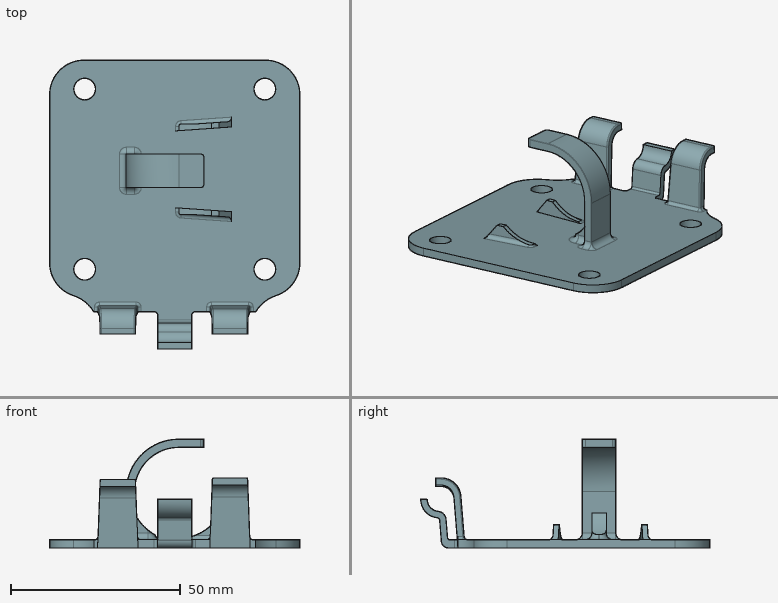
import cadquery as cq
import math

plate_width = 73.7
plate_thickness = 2.5
plate_back = 35.1
plate_front = -39.1
corner_radius = 10.2
front_arc_rise = 14.5
hole_spacing = 53.0
hole_diameter = 6.3
corner_arc_end_angle = 288.0
front_edge_half = 23.8

tab_lean = 4.6
small_fillet = 1.0
edge_break = 0.1

clip_base_width = 11.9
clip_top_width = 10.3
clip_thickness = 2.1
clip_edge_radius = 0.4
clip_upright = 14.8
clip_bend_inner_radius = 3.75
clip_tip_y = -45.6
left_clip_x = -16.8
right_clip_x = 16.3
right_clip_extra_height = 0.4

latch_width = 10.05
latch_thickness = 2.0
latch_face_y = -44.0
latch_bend_radius = 2.2
latch_inner_radius = 0.7
latch_sink = 0.1
latch_upright = 6.0
latch_shoulder_radius = 1.7
latch_shoulder_turn = 80.0
latch_lip_radius = 4.4
latch_lip_turn = 86.0

bar_x = 1.2
bar_z = 16.6
hook_y = 2.5
hook_width = 10.0
hook_thickness = 2.5
hook_top = 32.1
hook_tip_x = 8.6
base_fillet = 2.0

rib_width = 4.25
rib_end_x = -5.9
rib_cradle_radius = 14.5
rib_corner_radius = 2.0

fin_middle_y = 2.9
fin_inner_offset = 11.4
fin_toe_angle = 4.0
fin_width = 1.6
fin_start_x = 1.5
fin_end_x = 16.7
fin_crest_x = 13.0
fin_top = 6.9
fin_cradle_radius = 13.7
fin_fillet = 1.3
fin_corner_radius = 0.4


def along(point, angle, distance):
    """Point at a distance from another one, in a direction given in degrees."""
    a = math.radians(angle)
    return (point[0] + distance * math.cos(a), point[1] + distance * math.sin(a))


def ribbon(plane, offset, width, thickness, start, heading, steps):
    """Bent strip of constant thickness.

    Each step is (length, 0) for a straight run or (centreline radius, turn) for a bend,
    with turns in degrees and positive to the left.
    """
    half = thickness / 2
    position = start
    strip = None
    for size, turn in steps:
        left = along(position, heading + 90, half)
        right = along(position, heading - 90, half)
        sketch = cq.Workplane(plane).workplane(offset=offset).moveTo(*left)
        if turn == 0:
            position = along(position, heading, size)
            sketch = sketch.lineTo(*along(position, heading + 90, half))
            sketch = sketch.lineTo(*along(position, heading - 90, half))
            sketch = sketch.lineTo(*right)
        else:
            side = math.copysign(90, turn)
            centre = along(position, heading + side, size)
            left_radius = size - math.copysign(half, turn)
            right_radius = size + math.copysign(half, turn)
            middle = heading - side + turn / 2
            end = heading - side + turn
            sketch = sketch.threePointArc(along(centre, middle, left_radius), along(centre, end, left_radius))
            sketch = sketch.lineTo(*along(centre, end, right_radius))
            sketch = sketch.threePointArc(along(centre, middle, right_radius), right)
            position = along(centre, end, size)
            heading += turn
        segment = sketch.close().extrude(width / 2, both=True)
        strip = segment if strip is None else strip.union(segment)
    return strip


def edges_inside(body, low, high):
    """Edges of a body that lie wholly inside the box between two corners."""
    margin = 0.1
    return body.edges(cq.selectors.BoxSelector(
        tuple(v - margin for v in low),
        tuple(v + margin for v in high),
        boundingbox=True,
    ))


def fillet_base(body, low, high, radius):
    """Fillet the edges that lie on the top of the plate inside an XY window."""
    return edges_inside(body, (*low, plate_thickness), (*high, plate_thickness)).fillet(radius)


def make_plate():
    half = plate_width / 2
    centre_x = half - corner_radius
    front_centre = (centre_x, plate_front + front_arc_rise)
    arc_end = along(front_centre, corner_arc_end_angle, corner_radius)
    arc_middle = along(front_centre, corner_arc_end_angle / 2 + 180, corner_radius)
    front_corner = (front_edge_half, plate_front)
    half_plate = (
        cq.Workplane("XY")
        .moveTo(0, plate_back)
        .lineTo(centre_x, plate_back)
        .radiusArc((half, plate_back - corner_radius), corner_radius)
        .lineTo(half, front_centre[1])
        .threePointArc(arc_middle, arc_end)
        .tangentArcPoint(front_corner, relative=False)
        .lineTo(0, plate_front)
        .close()
        .extrude(plate_thickness)
    )
    plate = half_plate.union(half_plate.mirror("YZ"))
    holes = (
        cq.Workplane("XY")
        .rect(hole_spacing, hole_spacing, forConstruction=True)
        .vertices()
        .circle(hole_diameter / 2)
        .extrude(plate_thickness)
    )
    return plate.cut(holes)


def make_clip(x, extra_height):
    """Tapered tab flush with the front edge, bent forward at the top."""
    start = (plate_front + clip_thickness / 2, 0)
    upright = clip_upright + extra_height
    bend = clip_bend_inner_radius + clip_thickness / 2
    lean = math.radians(tab_lean)
    bend_end_y = start[0] - upright * math.sin(lean) - bend * math.cos(lean)
    steps = [(upright, 0), (bend, 90 - tab_lean), (bend_end_y - clip_tip_y, 0)]
    clip = ribbon("YZ", x, clip_base_width, clip_thickness, start, 90 + tab_lean, steps)
    top = upright + bend + clip_thickness
    taper = (
        cq.Workplane("XZ")
        .polyline([
            (x - clip_base_width / 2, 0),
            (x + clip_base_width / 2, 0),
            (x + clip_top_width / 2, top),
            (x - clip_top_width / 2, top),
        ])
        .close()
        .extrude(plate_width)
    )
    clip = clip.intersect(taper)
    return clip.faces(">Z").edges("not |X").fillet(clip_edge_radius)


def make_latch():
    """Middle tab: folded up from the plate, then bent forward into an upturned lip."""
    foot_length = plate_front - latch_face_y
    foot = (
        cq.Workplane("XY")
        .box(latch_width, foot_length, plate_thickness, centered=(True, False, False))
        .translate((0, latch_face_y, 0))
        .edges("<Y and <Z")
        .fillet(latch_bend_radius)
    )
    start = (latch_face_y + latch_thickness / 2, plate_thickness - latch_sink)
    steps = [
        (latch_upright, 0),
        (latch_shoulder_radius, latch_shoulder_turn),
        (latch_lip_radius, -latch_lip_turn),
    ]
    return foot.union(ribbon("YZ", 0, latch_width, latch_thickness, start, 90 + tab_lean, steps))


def make_hook():
    bend = hook_top - bar_z - hook_thickness / 2
    steps = [(bar_z, 0), (bend, -90), (hook_tip_x - bar_x, 0)]
    hook = ribbon("XZ", -hook_y, hook_width, hook_thickness, (bar_x - bend, 0), 90, steps)
    hook = hook.faces(">X").edges("|Z").fillet(small_fillet)
    low, high = hook_leg_window()
    return edges_inside(hook, (*low, 0), (*high, bar_z)).edges("|Z").fillet(edge_break)


def hook_leg_window():
    """Opposite XY corners of the hook's leg."""
    outer_x = bar_x - (hook_top - bar_z)
    reach = hook_width / 2
    low = (outer_x, hook_y - reach)
    high = (outer_x + hook_thickness, hook_y + reach)
    return low, high


def make_slab(low, high):
    """Rectangular patch of the plate for a flared foot to stand on."""
    return cq.Workplane("XY").box(
        high[0] - low[0], high[1] - low[1], plate_thickness, centered=False
    ).translate((low[0], low[1], 0))


def make_bar(radius):
    """Round bar whose surface the rib and the fins follow."""
    return (
        cq.Workplane("XZ", origin=(bar_x, 0, bar_z))
        .circle(radius)
        .extrude(plate_width / 2, both=True)
    )


def make_rib():
    """Gusset inside the hook's foot: a flared block cut to the bar's curve."""
    start_x = bar_x - (hook_top - bar_z) + hook_thickness / 2
    reach = rib_width / 2 + base_fillet + edge_break
    low = (start_x, hook_y - reach)
    high = (rib_end_x + base_fillet + edge_break, hook_y + reach)
    block = (
        cq.Workplane("XY")
        .box(rib_end_x - start_x, rib_width, bar_z, centered=(False, True, False))
        .translate((start_x, hook_y, 0))
        .edges("|Z and >X")
        .fillet(rib_corner_radius)
    )
    block_low = (start_x, hook_y - rib_width / 2)
    block_high = (rib_end_x, hook_y + rib_width / 2)
    rib = fillet_base(make_slab(low, high).union(block), block_low, block_high, base_fillet)
    return rib.cut(make_bar(rib_cradle_radius))


def make_fin():
    """Fin on the +Y side: flared on its outer side and low end, with a curved top and a ramp."""
    inner_y = fin_middle_y + fin_inner_offset
    toe = math.tan(math.radians(fin_toe_angle))

    def inner_face(x):
        return inner_y + (x - fin_start_x) * toe

    def strip(first_x, width, height):
        outline = [
            (first_x, inner_face(first_x)),
            (fin_end_x, inner_face(fin_end_x)),
            (fin_end_x, inner_face(fin_end_x) + width),
            (first_x, inner_face(first_x) + width),
        ]
        return cq.Workplane("XY").polyline(outline).close().extrude(height)

    blade = strip(fin_start_x, fin_width, fin_top).edges("|Z and <X").edges(">Y").fillet(fin_corner_radius)
    foot = strip(fin_start_x - 2 * fin_fillet, 3 * fin_width, plate_thickness)
    low = (fin_start_x, inner_y)
    high = (fin_end_x, inner_face(fin_end_x) + fin_width)
    fin = fillet_base(foot.union(blade), low, high, fin_fillet)
    outside = (
        cq.Workplane("XZ")
        .moveTo(fin_end_x, plate_thickness)
        .lineTo(fin_crest_x, fin_top)
        .lineTo(fin_end_x, fin_top)
        .close()
        .extrude(plate_width / 2, both=True)
    )
    return fin.cut(make_bar(fin_cradle_radius)).cut(outside)


def fillet_clip_base(body, x):
    half = clip_base_width / 2
    low = (x - half, plate_front)
    high = (x + half, plate_front + clip_thickness)
    return fillet_base(body, low, high, small_fillet)


def fillet_latch(body):
    """Round the corners beside the latch's neck and the inside of its fold."""
    half = latch_width / 2
    neck = edges_inside(body, (-half, plate_front, 0), (half, plate_front, plate_thickness))
    body = neck.edges("|Z").fillet(small_fillet)
    low = (-half, latch_face_y)
    high = (half, plate_front - 2 * small_fillet)
    return fillet_base(body, low, high, latch_inner_radius)


body = make_plate().union(make_latch()).union(make_hook())
body = fillet_latch(body)
body = fillet_base(body, *hook_leg_window(), base_fillet)
for clip_x, extra_height in ((left_clip_x, 0), (right_clip_x, right_clip_extra_height)):
    body = body.union(make_clip(clip_x, extra_height))
    body = fillet_clip_base(body, clip_x)

fin = make_fin()
opposite_fin = fin.mirror("XZ", (0, fin_middle_y, 0))
result = body.union(make_rib()).union(fin).union(opposite_fin)